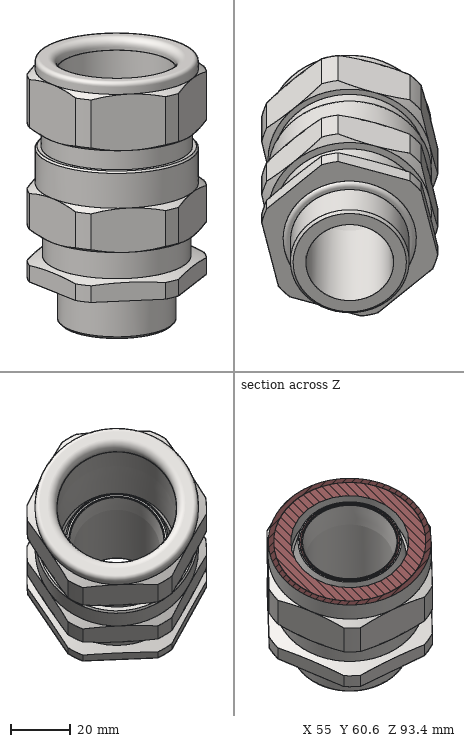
import cadquery as cq
import math


across_flats = 55.0
corner_radius = 30.3
collar_radius = across_flats / 2
flange_cone_radius = 25.4

washer_bottom = 14.6
flange_bottom = 16.1
flange_top = 23.2
middle_nut_bottom = 33.25
middle_hex_top = 48.9
middle_nut_top = 61.9
top_nut_bottom = 69.3
top_hex_top = 89.3
top_nut_top = 93.4
sleeve_bottom = middle_hex_top
sleeve_top = top_hex_top

nut_chamfer_height = 1.5
flange_chamfer_height = 1.2

spigot_radius = 20.0
spigot_chamfer = 0.9
entry_radius = 25.0
entry_bore_radius = 14.8
entry_mouth_radius = 15.9
entry_mouth_depth = 9.3
rim_inner_radius = 16.25
rim_outer_radius = 16.9
rim_step_radius = 17.4
rim_step_height = 0.3
armour_cone_height = 7.5

washer_radius = 22.4

middle_nut_chamfer = 0.7

sleeve_radius = 25.5
sleeve_bore_radius = 20.1
sleeve_throat_radius = 19.7
sleeve_seat_radius = 19.0
sleeve_seat_height = 0.9
sleeve_cone_top = 75.3

top_fillet = 1.6
lip_radius = 20.2
lip_fillet = 3.0


def revolve(points):
    """Solid of revolution about Z from a closed outline of (radius, height) points."""
    outline = cq.Workplane("XZ").polyline(points).close()
    return outline.revolve(360, (0, 0, 0), (0, 1, 0))


def cylinder(radius, bottom, top):
    return cq.Workplane("XY", origin=(0, 0, bottom)).circle(radius).extrude(top - bottom)


def hexagon(bottom, top, face_radius, chamfer_height, chamfer_bottom):
    """Hexagon prism with flats facing +X and -X, its corners turned and chamfered."""
    corner_diameter = across_flats / math.cos(math.pi / 6)
    prism = (
        cq.Workplane("XY", origin=(0, 0, bottom))
        .transformed(rotate=(0, 0, 30))
        .polygon(6, corner_diameter)
        .extrude(top - bottom)
    )
    if chamfer_bottom:
        lower = [(0, bottom), (face_radius, bottom), (corner_radius, bottom + chamfer_height)]
    else:
        lower = [(0, bottom), (corner_radius, bottom)]
    upper = [(corner_radius, top - chamfer_height), (face_radius, top), (0, top)]
    return prism.intersect(revolve(lower + upper))


def make_entry_body():
    """Spigot, hexagonal flange and tube ending in a cone that rises inwards."""
    rim_top = middle_hex_top + armour_cone_height
    spigot = revolve([
        (0, 0),
        (spigot_radius - spigot_chamfer, 0),
        (spigot_radius, spigot_chamfer),
        (spigot_radius, flange_bottom),
        (0, flange_bottom),
    ])
    flange = hexagon(flange_bottom, flange_top, flange_cone_radius, flange_chamfer_height, False)
    tube = cylinder(entry_radius, flange_top, middle_hex_top)
    armour_cone = revolve([
        (0, middle_hex_top),
        (sleeve_seat_radius, middle_hex_top),
        (rim_step_radius, rim_top - rim_step_height),
        (rim_outer_radius, rim_top - rim_step_height),
        (rim_outer_radius, rim_top),
        (0, rim_top),
    ])
    bore = revolve([
        (0, 0),
        (entry_bore_radius, 0),
        (entry_bore_radius, rim_top - entry_mouth_depth),
        (entry_mouth_radius, rim_top - rim_step_height),
        (rim_inner_radius, rim_top - rim_step_height),
        (rim_inner_radius, rim_top),
        (0, rim_top),
    ])
    return spigot.union(flange).union(tube).union(armour_cone).cut(bore)


def make_washer():
    """Ring under the flange, around the spigot, with a quarter-round outer edge."""
    thickness = flange_bottom - washer_bottom
    outline = (
        cq.Workplane("XZ")
        .moveTo(spigot_radius, flange_bottom)
        .lineTo(spigot_radius, washer_bottom)
        .lineTo(washer_radius - thickness, washer_bottom)
        .radiusArc((washer_radius, flange_bottom), -thickness)
        .close()
    )
    return outline.revolve(360, (0, 0, 0), (0, 1, 0))


def make_middle_nut():
    """Hexagon nut with a round collar, joining the entry body to the sleeve."""
    nut_hex = hexagon(middle_nut_bottom, middle_hex_top, collar_radius, nut_chamfer_height, True)
    collar = cylinder(collar_radius, middle_hex_top, middle_nut_top)
    collar = collar.faces(">Z").chamfer(middle_nut_chamfer)
    entry_hole = cylinder(entry_radius, middle_nut_bottom, middle_hex_top)
    sleeve_hole = cylinder(sleeve_radius, middle_hex_top, middle_nut_top)
    return nut_hex.union(collar).cut(entry_hole).cut(sleeve_hole)


def make_sleeve():
    """Tube between the two nuts, its bore narrowing towards the entry body."""
    return revolve([
        (sleeve_seat_radius, sleeve_bottom),
        (sleeve_radius, sleeve_bottom),
        (sleeve_radius, sleeve_top),
        (sleeve_bore_radius, sleeve_top),
        (sleeve_bore_radius, sleeve_cone_top),
        (sleeve_throat_radius, sleeve_bottom + sleeve_seat_height),
    ])


def make_top_nut():
    """Cap nut over the sleeve, with a rounded lip around the cable opening."""
    nut_hex = hexagon(top_nut_bottom, top_hex_top, collar_radius, nut_chamfer_height, True)
    cap = cylinder(collar_radius, top_hex_top, top_nut_top)
    lip_hole = cylinder(lip_radius, sleeve_top, top_nut_top)
    cap = cap.cut(lip_hole)
    cap = cap.faces(">Z").edges(cq.selectors.RadiusNthSelector(0)).fillet(lip_fillet)
    cap = cap.faces(">Z").edges(cq.selectors.RadiusNthSelector(-1)).fillet(top_fillet)
    sleeve_hole = cylinder(sleeve_radius, top_nut_bottom, sleeve_top)
    return nut_hex.cut(sleeve_hole).union(cap)


entry_body = make_entry_body()
washer = make_washer()
middle_nut = make_middle_nut()
sleeve = make_sleeve()
top_nut = make_top_nut()

result = cq.Compound.makeCompound([
    entry_body.val(),
    washer.val(),
    middle_nut.val(),
    sleeve.val(),
    top_nut.val(),
])